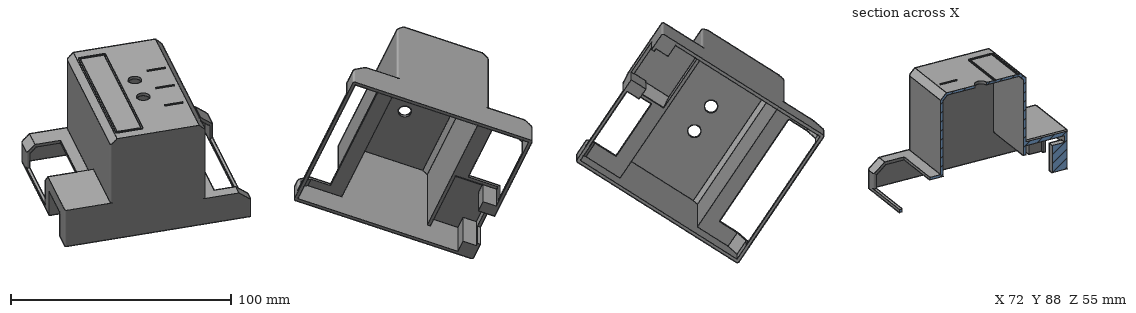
import cadquery as cq

LENGTH_X = 72.0
LENGTH_Y = 88.0
HEIGHT = 55.0
WALL = 1.5
CORNER_RADIUS = 1.0

BASE_HEIGHT = 14.1
FRONT_SLOPE = 3.9
REAR_SLOPE_DEPTH = 5.8
REAR_SLOPE_DROP = 4.75

TOWER_DEPTH = 45.0
TOWER_CHAMFER = 3.1
TOWER_FRONT = (LENGTH_Y - TOWER_DEPTH) / 2
TOWER_REAR = TOWER_FRONT + TOWER_DEPTH

WINDOW_LEFT = 9.1
FRONT_WINDOW_RIGHT = 38.5
REAR_WINDOW_RIGHT = 66.6
WINDOW_REACH = 15.9
SILL_HEIGHT = 1.7

HOUSING_LEFT = FRONT_WINDOW_RIGHT
HOUSING_HEIGHT = 20.0
HOUSING_SLOPE_WIDTH = 5.2
PORT_LEFT = 45.9
PORT_RIGHT = 62.9
PORT_HEIGHT = 13.2

POST_DEPTH = 8.0
LEFT_POST_START = 40.3
RIGHT_POST_START = 64.3

LIGHT_HOLE_DIAMETER = 6.0
LIGHT_HOLE_SPACING = 13.9
LIGHT_HOLE_Y = 45.3
ENGRAVE_DEPTH = 0.35
DIVIDER_WIDTH = 0.6
DIVIDER_LENGTH = 8.6
DIVIDER_SPACING = 14.4
DIVIDER_Y = 57.1
MIDDLE_DIVIDER_X = 37.7
FRAME_WIDTH = 62.5
FRAME_DEPTH = 12.9
FRAME_LINE = 0.8
FRAME_RADIUS = 0.9
FRAME_Y = 31.9


def block(x_range, y_range, z_range):
    """Axis-aligned box given by its start and end along each axis."""
    size = [end - start for start, end in (x_range, y_range, z_range)]
    start = (x_range[0], y_range[0], z_range[0])
    return cq.Workplane("XY").box(*size, centered=False).translate(start)


def shell_profile(bottom):
    """Side outline (Y, Z) of the base and tower, closed at the given bottom height."""
    return cq.Workplane("YZ").polyline([
        (0, bottom),
        (0, BASE_HEIGHT - FRONT_SLOPE),
        (FRONT_SLOPE, BASE_HEIGHT),
        (TOWER_FRONT, BASE_HEIGHT),
        (TOWER_FRONT, HEIGHT - TOWER_CHAMFER),
        (TOWER_FRONT + TOWER_CHAMFER, HEIGHT),
        (TOWER_REAR - TOWER_CHAMFER, HEIGHT),
        (TOWER_REAR, HEIGHT - TOWER_CHAMFER),
        (TOWER_REAR, BASE_HEIGHT),
        (LENGTH_Y - REAR_SLOPE_DEPTH, BASE_HEIGHT),
        (LENGTH_Y, BASE_HEIGHT - REAR_SLOPE_DROP),
        (LENGTH_Y, bottom),
    ]).close()


def housing_profile(bottom):
    """Front outline (X, Z) of the terminal housing, closed at the given bottom height."""
    return cq.Workplane("XZ").polyline([
        (HOUSING_LEFT, bottom),
        (HOUSING_LEFT, BASE_HEIGHT),
        (HOUSING_LEFT + HOUSING_SLOPE_WIDTH, HOUSING_HEIGHT),
        (LENGTH_X, HOUSING_HEIGHT),
        (LENGTH_X, bottom),
    ]).close()


def round_upright_edges(part, places):
    """Round the vertical edges that stand at the given (X, Y) places."""
    reach = CORNER_RADIUS / 4
    for x, y in places:
        low = (x - reach, y - reach, 0)
        high = (x + reach, y + reach, HEIGHT)
        edges = part.edges("|Z").edges(cq.selectors.BoxSelector(low, high))
        part = edges.fillet(CORNER_RADIUS)
    return part


def outer_body():
    shell = shell_profile(0).extrude(LENGTH_X)
    housing = housing_profile(0).extrude(-TOWER_FRONT)
    corners = [(x, y) for x in (0, LENGTH_X) for y in (0, TOWER_FRONT, TOWER_REAR, LENGTH_Y)]
    return round_upright_edges(shell.union(housing), corners)


def cavity():
    """Open-bottomed hollow that follows the outside at one wall thickness."""
    shell = shell_profile(-2 * WALL).offset2D(-WALL, "intersection")
    shell = shell.extrude(LENGTH_X - 2 * WALL).translate((WALL, 0, 0))
    housing = housing_profile(-2 * WALL).offset2D(-WALL, "intersection")
    housing = housing.extrude(WALL - TOWER_FRONT).translate((0, WALL, 0))
    housing_floor = block(
        (HOUSING_LEFT, LENGTH_X - WALL), (WALL, TOWER_FRONT), (0, BASE_HEIGHT - WALL)
    )
    return shell.union(housing).union(housing_floor)


def posts():
    post_top = HOUSING_HEIGHT - WALL / 2
    left = block((LEFT_POST_START, PORT_LEFT), (WALL / 2, POST_DEPTH), (0, BASE_HEIGHT))
    right_end = LENGTH_X - WALL / 2
    right = block((RIGHT_POST_START, right_end), (WALL / 2, POST_DEPTH), (0, post_top))
    return left.union(right)


def windows():
    z_range = (SILL_HEIGHT, BASE_HEIGHT)
    front = block((WINDOW_LEFT, FRONT_WINDOW_RIGHT), (0, WINDOW_REACH), z_range)
    rear_range = (LENGTH_Y - WINDOW_REACH, LENGTH_Y)
    rear = block((WINDOW_LEFT, REAR_WINDOW_RIGHT), rear_range, z_range)
    return front.union(rear)


def port():
    return block((PORT_LEFT, PORT_RIGHT), (0, WALL), (0, PORT_HEIGHT))


def light_holes():
    return (
        cq.Workplane("XY", origin=(LENGTH_X / 2, LIGHT_HOLE_Y, HEIGHT))
        .rarray(LIGHT_HOLE_SPACING, 0.9, 2, 1)
        .circle(LIGHT_HOLE_DIAMETER / 2)
        .extrude(-2 * WALL)
    )


def engraved_lines():
    """Three dividers and a rounded rectangular frame, cut into the top face."""
    dividers = (
        cq.Workplane("XY", origin=(MIDDLE_DIVIDER_X, DIVIDER_Y, HEIGHT))
        .rarray(DIVIDER_SPACING, 0.9, 3, 1)
        .rect(DIVIDER_WIDTH, DIVIDER_LENGTH)
        .extrude(-ENGRAVE_DEPTH)
    )
    top = cq.Workplane("XY", origin=(LENGTH_X / 2, FRAME_Y, HEIGHT))
    frame = top.rect(FRAME_WIDTH, FRAME_DEPTH).extrude(-ENGRAVE_DEPTH)
    frame = frame.edges("|Z").fillet(FRAME_RADIUS)
    island = top.rect(FRAME_WIDTH - 2 * FRAME_LINE, FRAME_DEPTH - 2 * FRAME_LINE)
    return dividers.union(frame.cut(island.extrude(-ENGRAVE_DEPTH)))


window_jambs = [
    (WINDOW_LEFT, 0),
    (FRONT_WINDOW_RIGHT, 0),
    (WINDOW_LEFT, LENGTH_Y),
    (REAR_WINDOW_RIGHT, LENGTH_Y),
]
cover = outer_body().cut(cavity()).union(posts())
cover = round_upright_edges(cover.cut(windows()), window_jambs)
result = cover.cut(port()).cut(light_holes()).cut(engraved_lines())